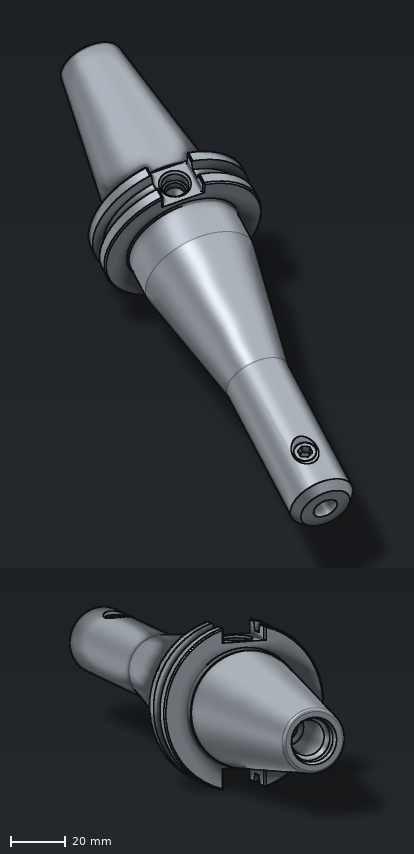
import cadquery as cq
import math


gauge_diameter = 44.45
taper_ratio = 7 / 24
taper_length = 68.25
taper_end_diameter = gauge_diameter - taper_ratio * taper_length
taper_end_fillet = 1.2
gauge_land = 0.7
relief_diameter = 43.94
relief_fillet = 0.8

flange_diameter = 63.5
flange_front = 3.18
flange_back = 19.05
flange_width = flange_back - flange_front
flange_middle = (flange_front + flange_back) / 2
flange_chamfer = 0.6
groove_center = 11.05
groove_floor_diameter = 56.2
groove_floor_width = 4.0
groove_mouth_width = 6.6

neck_diameter = 44.45
neck_fillet = 0.6
neck_end = 34.9
nose_diameter = 25.4
nose_start = 88.9
nose_end = 152.4
nose_tip_diameter = 19.8
nose_chamfer_length = 3.3

bore_diameter = 9.53
mouth_diameter = 17.9
pilot_diameter = 16.46
mouth_chamfer_length = 2.0
pilot_depth = 5.0
pilot_cone_length = 2.0
thread_diameter = 13.39
thread_depth = 28.0
drill_tip_angle = 118.0

slot_width = 16.1
slot_corner_radius = 0.5
upper_slot_floor = 25.0
lower_slot_floor = 22.4

countersink_diameter = 12.0
pocket_diameter = 10.13
pocket_depth = 5.0
pilot_hole_diameter = 8.0
pilot_hole_depth = 8.0
pilot_hole_tip_angle = 140.0

screw_x = nose_end - 19.05
screw_countersink_diameter = 12.95
screw_countersink_angle = 118.0
screw_countersink_slope = math.tan(math.radians(screw_countersink_angle / 2))
screw_diameter = 8.38
screw_countersink_depth = (screw_countersink_diameter - screw_diameter) / 2 / screw_countersink_slope
screw_seat = nose_diameter / 2 - screw_countersink_depth
screw_rise = 0.3
screw_top = screw_seat + screw_rise
screw_bottom = 3.65
socket_across_flats = 4.76
socket_sides = 6
socket_depth = 4.0


def turned_about_x(profile):
    """Solid turned about the X axis from a closed outline in the XY plane."""
    return profile.revolve(360, (0, 0, 0), (1, 0, 0))


def turned_about_vertical(points, x):
    """Solid turned about a vertical axis at x from (radius, height) points."""
    outline = cq.Workplane("XZ").polyline(points).close()
    return outline.revolve(360, (0, 0, 0), (0, 1, 0)).translate((x, 0, 0))


def make_core():
    """Taper shank, relief, neck and nose, without the flange."""
    relief_radius = relief_diameter / 2
    neck_radius = neck_diameter / 2
    profile = (
        cq.Workplane("XY")
        .moveTo(-taper_length, 0)
        .lineTo(-taper_length, taper_end_diameter / 2)
        .lineTo(0, gauge_diameter / 2)
        .lineTo(gauge_land, gauge_diameter / 2)
        .lineTo(gauge_land, relief_radius)
        .lineTo(flange_front - relief_fillet, relief_radius)
        .radiusArc((flange_front, relief_radius + relief_fillet), -relief_fillet)
        .lineTo(flange_back, neck_radius + neck_fillet)
        .radiusArc((flange_back + neck_fillet, neck_radius), -neck_fillet)
        .lineTo(neck_end, neck_radius)
        .lineTo(nose_start, nose_diameter / 2)
        .lineTo(nose_end - nose_chamfer_length, nose_diameter / 2)
        .lineTo(nose_end, nose_tip_diameter / 2)
        .lineTo(nose_end, 0)
        .close()
    )
    return turned_about_x(profile).faces("<X").edges().fillet(taper_end_fillet)


def flange_groove():
    """Ring of trapezoidal section that leaves the groove around the flange."""
    rim_radius = flange_diameter / 2
    floor_radius = groove_floor_diameter / 2
    profile = cq.Workplane("XY").polyline(
        [
            (groove_center - groove_mouth_width / 2, rim_radius),
            (groove_center - groove_floor_width / 2, floor_radius),
            (groove_center + groove_floor_width / 2, floor_radius),
            (groove_center + groove_mouth_width / 2, rim_radius),
        ]
    )
    return turned_about_x(profile.close())


def drive_slot(floor, opening):
    """Slot across the flange, with its floor at height floor and open towards the opening height."""
    depth = opening - floor
    slot = cq.Workplane("XY").box(flange_width, slot_width, abs(depth))
    return slot.translate((flange_middle, 0, floor + depth / 2))


def slot_corner_zone():
    """Selects the inner edges where the slot walls meet the slot floors."""
    half_width = slot_width / 2
    edge_margin = 0.1
    return cq.selectors.BoxSelector(
        (flange_front, -half_width - edge_margin, -lower_slot_floor - edge_margin),
        (flange_back, half_width + edge_margin, upper_slot_floor + edge_margin),
    )


def make_flange():
    """Slotted disc with chamfered rims and slot walls, then grooved."""
    rim_radius = flange_diameter / 2
    disc = cq.Workplane("YZ", origin=(flange_front, 0, 0)).circle(rim_radius).extrude(flange_width)
    disc = disc.cut(drive_slot(upper_slot_floor, rim_radius))
    disc = disc.cut(drive_slot(-lower_slot_floor, -rim_radius))
    rims = disc.faces("%CYLINDER").edges()
    wall_ends = disc.faces("|X").edges("|Z")
    disc = rims.add(wall_ends).chamfer(flange_chamfer)
    disc = disc.faces("|Y").edges("|X").edges(slot_corner_zone()).fillet(slot_corner_radius)
    return disc.cut(flange_groove())


def bore():
    """Stepped through bore: flared mouth, pilot, thread bore and tool bore."""
    back = -taper_length
    tip_slope = math.tan(math.radians(drill_tip_angle / 2))
    tip_length = (thread_diameter - bore_diameter) / 2 / tip_slope
    profile = cq.Workplane("XY").polyline(
        [
            (back, 0),
            (back, mouth_diameter / 2),
            (back + mouth_chamfer_length, pilot_diameter / 2),
            (back + pilot_depth, pilot_diameter / 2),
            (back + pilot_depth + pilot_cone_length, thread_diameter / 2),
            (back + thread_depth, thread_diameter / 2),
            (back + thread_depth + tip_length, bore_diameter / 2),
            (nose_end, bore_diameter / 2),
            (nose_end, 0),
        ]
    )
    return turned_about_x(profile.close())


def slot_hole():
    """Countersunk, stepped hole with a conical end."""
    top = upper_slot_floor
    countersink_depth = (countersink_diameter - pocket_diameter) / 2
    tip_length = pilot_hole_diameter / 2 / math.tan(math.radians(pilot_hole_tip_angle / 2))
    return turned_about_vertical(
        [
            (0, top),
            (countersink_diameter / 2, top),
            (pocket_diameter / 2, top - countersink_depth),
            (pocket_diameter / 2, top - pocket_depth),
            (pilot_hole_diameter / 2, top - pocket_depth),
            (pilot_hole_diameter / 2, top - pilot_hole_depth),
            (0, top - pilot_hole_depth - tip_length),
        ],
        flange_middle,
    )


def screw_hole():
    """Countersunk hole from the top of the nose into the bore."""
    top = nose_diameter / 2
    return turned_about_vertical(
        [
            (0, top),
            (screw_countersink_diameter / 2, top),
            (screw_diameter / 2, screw_seat),
            (screw_diameter / 2, 0),
            (0, 0),
        ],
        screw_x,
    )


def make_holder():
    """Shank, flange and nose in one piece, with all holes cut."""
    body = make_core().union(make_flange())
    return body.cut(bore()).cut(slot_hole()).cut(screw_hole())


def make_screw():
    """Headless screw with a hexagon socket; its flat end reaches into the bore."""
    screw = turned_about_vertical(
        [
            (0, screw_bottom),
            (screw_diameter / 2, screw_bottom),
            (screw_diameter / 2, screw_top),
            (0, screw_top),
        ],
        screw_x,
    )
    socket = (
        cq.Workplane("XY", origin=(screw_x, 0, screw_top))
        .polygon(socket_sides, socket_across_flats / math.cos(math.pi / socket_sides))
        .extrude(-socket_depth)
    )
    return screw.cut(socket)


holder = make_holder()
clamping_screw = make_screw()
result = cq.Compound.makeCompound([holder.val(), clamping_screw.val()])